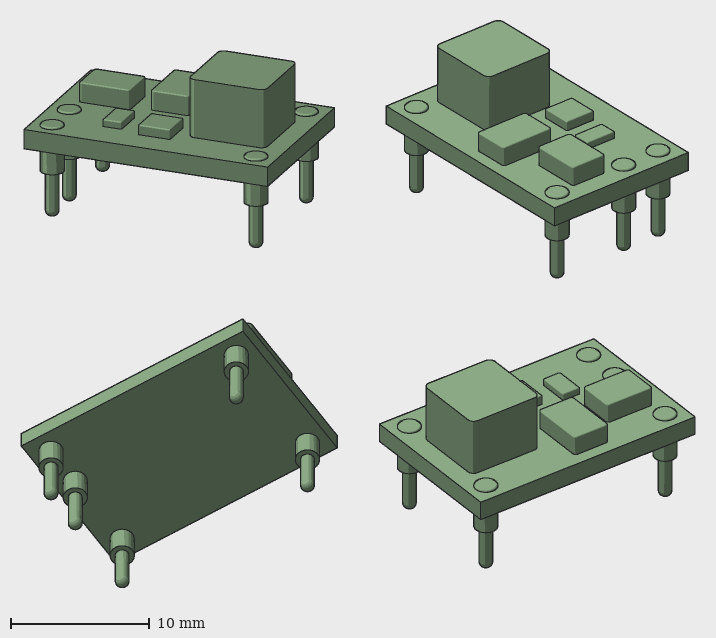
import cadquery as cq

BOARD_LENGTH = 19.0
BOARD_WIDTH = 12.5
BOARD_THICKNESS = 1.5

INDUCTOR_SIDE = 6.0
INDUCTOR_HEIGHT = 4.5
INDUCTOR_X = 4.94
INDUCTOR_CORNER_RADIUS = 0.5

COMPONENTS = [
    (-5.93, 1.71, 4.0, 3.0, 1.5, 0.25),
    (-1.06, 3.0, 3.0, 4.5, 1.5, 0.25),
    (-3.78, -2.26, 1.5, 2.5, 0.53, 0.11),
    (-0.3, -2.75, 2.5, 2.5, 0.75, 0.11),
]
COMPONENT_TOP_RADIUS = 0.1

COLLAR_DIAMETER = 1.75
COLLAR_DEPTH = 2.0
HEAD_HEIGHT = 0.13
HEAD_ROUNDING = 0.11
PIN_DIAMETER = 1.0
PIN_TIP_DEPTH = 5.5
PIN_TIP_RADIUS = 0.45
PIN_ROW_X = 7.95
PIN_ROW_Y = 4.71
MIDDLE_PIN_Y = -1.5
PIN_POSITIONS = [
    (-PIN_ROW_X, PIN_ROW_Y),
    (-PIN_ROW_X, MIDDLE_PIN_Y),
    (-PIN_ROW_X, -PIN_ROW_Y),
    (PIN_ROW_X, PIN_ROW_Y),
    (PIN_ROW_X, -PIN_ROW_Y),
]


def block_on_board(x, y, length, width, height, corner_radius):
    """Block standing on the board, with rounded vertical edges."""
    block = cq.Workplane("XY").center(x, y).rect(length, width).extrude(height)
    return block.edges("|Z").fillet(corner_radius)


def pin(x, y):
    """Collar with a low rounded head above the board and a round-ended pin below."""
    collar_bottom = -BOARD_THICKNESS - COLLAR_DEPTH
    collar = (
        cq.Workplane("XY", origin=(x, y, collar_bottom))
        .circle(COLLAR_DIAMETER / 2)
        .extrude(HEAD_HEIGHT - collar_bottom)
        .faces(">Z")
        .edges()
        .fillet(HEAD_ROUNDING)
    )
    shank = (
        cq.Workplane("XY", origin=(x, y, collar_bottom))
        .circle(PIN_DIAMETER / 2)
        .extrude(COLLAR_DEPTH - PIN_TIP_DEPTH)
        .faces("<Z")
        .edges()
        .fillet(PIN_TIP_RADIUS)
    )
    return collar.union(shank)


board = (
    cq.Workplane("XY")
    .rect(BOARD_LENGTH, BOARD_WIDTH)
    .extrude(-BOARD_THICKNESS)
)

inductor = block_on_board(
    INDUCTOR_X, 0, INDUCTOR_SIDE, INDUCTOR_SIDE, INDUCTOR_HEIGHT, INDUCTOR_CORNER_RADIUS
)

result = board.union(inductor)

for component in COMPONENTS:
    body = block_on_board(*component)
    result = result.union(body.faces(">Z").edges().fillet(COMPONENT_TOP_RADIUS))

for pin_x, pin_y in PIN_POSITIONS:
    result = result.union(pin(pin_x, pin_y))